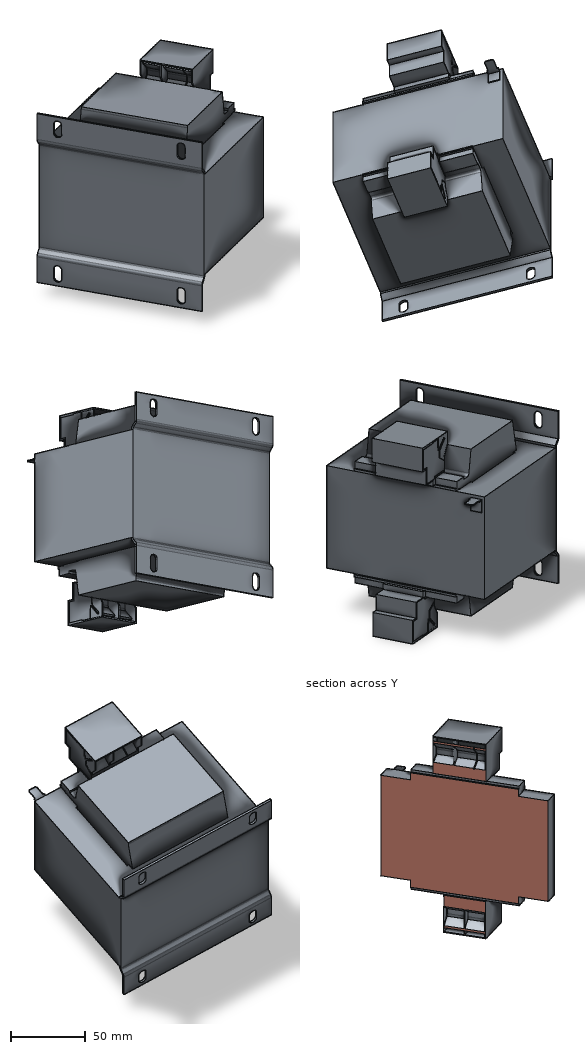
import cadquery as cq


part_width = 120.0
sheet = 1.5
flange_offset = 3.7
panel_half_height = 38.1
flange_half_height = 62.1
bend_radius = 3.4
panel_bend_radius = 1.4
bend_shift = 0.5
slot_width = 6.0
slot_length = 12.0
slot_spacing_x = 89.9
slot_spacing_z = 106.5

core_front = flange_offset + sheet
core_depth = 100.3
core_height = 73.9
core_leg = 20.0
core_rear = core_front + core_depth
window_front = core_front + core_leg
window_rear = core_rear - core_leg
window_half_width = part_width / 2 - core_leg

bobbin_width = 77.5
winding_half_height = 60.2
winding_top_front = 25.8
winding_top_rear = 85.0
winding_base_front = 20.7
winding_front_band = 1.7
winding_base_rear = 88.3
shelf_height = 42.1
shelf_fillet = 2.1
rail_front = 94.9
rail_rear = 105.2
rail_height = 43.8
lip_rear = 106.5
lip_bottom = 37.4
lip_top = 39.0
lip_gap_front = 101.3

terminal_rear = 123.6
terminal_top = 71.4
terminal_front = 88.5
terminal_throat = 92.6
chin_top = 61.2
chin_bottom = 54.5
rear_step = 118.9
overhang_bottom = 54.2
terminal_bottom = 42.8
hook_rear = 108.7
hook_bottom = 38.8
rim = 1.1
panel_recess = 0.1
pocket_ceiling = 70.4
pocket_rear = 101.2
ledge_rear = 100.5
ledge_top = 64.0
ledge_bottom = 60.2
throat_rear = 99.3
throat_bottom = 56.0
pocket_lip = 51.7
leaf_root_top = 61.5
leaf_root_bottom = 59.6
leaf_tip_front = 92.2
leaf_tip_top = 68.5
leaf_thickness = 1.0
leaf_bend_front = 98.9
leaf_bend_height = 61.4
side_step_rear = 109.2
left_wall = 0.7
wall = 1.0
pocket_width = 13.8
wide_pocket_width = 21.8
upper_left = -22.7
lower_left = -15.1
joint_start = 6.5
joint_width = 0.5

tab_centre = -54.0
tab_sheet = 0.7
tab_top = 34.7
tab_foot_bottom = 25.4
tab_base_width = 8.1
tab_base_end = 109.0
tab_blade_width = 6.4
tab_end = 117.2
tab_corner = 0.9


def prism(points, x_start, x_end):
    """Extrude a (Y, Z) outline between two X positions."""
    return cq.Workplane("YZ").workplane(offset=x_start).polyline(points).close().extrude(x_end - x_start)


def block(x_range, y_range, z_range):
    """Box spanning the given ranges."""
    size = [high - low for low, high in (x_range, y_range, z_range)]
    return cq.Workplane("XY").box(*size, centered=False).translate((x_range[0], y_range[0], z_range[0]))


def mirrored_pair(solid):
    """The solid together with its mirror image below the XY plane."""
    return solid.union(solid.mirror("XY"))


def make_core():
    half_height = core_height / 2
    core = block((-part_width / 2, part_width / 2), (core_front, core_rear), (-half_height, half_height))
    window = (
        cq.Workplane("XY")
        .rect(2 * window_half_width, window_rear - window_front)
        .extrude(half_height, both=True)
        .translate((0, (window_front + window_rear) / 2, 0))
    )
    return core.cut(window)


def make_bobbin():
    half_width = bobbin_width / 2
    core_top = core_height / 2
    winding = block((-half_width, half_width), (window_front, window_rear), (-core_top, core_top))
    head = prism(
        [
            (winding_base_front, core_top),
            (winding_top_front, winding_half_height - winding_front_band),
            (winding_top_front, winding_half_height),
            (winding_top_rear, winding_half_height),
            (winding_base_rear, shelf_height),
            (rail_front, shelf_height),
            (rail_front, rail_height),
            (rail_rear, rail_height),
            (rail_rear, lip_top),
            (lip_rear, lip_top),
            (lip_rear, lip_bottom),
            (lip_gap_front, lip_bottom),
            (lip_gap_front, core_top),
        ],
        -half_width,
        half_width,
    )
    shelf_corner = cq.selectors.NearestToPointSelector((0, winding_base_rear, shelf_height))
    head = head.edges(shelf_corner).fillet(shelf_fillet)
    return winding.union(mirrored_pair(head))


def make_bracket():
    """Bent sheet, built as the upper half of the panel with its flange and then mirrored."""
    half_width = part_width / 2
    bend_z = panel_half_height + flange_offset
    sheet_half = prism(
        [
            (core_front, 0),
            (core_front, panel_half_height + bend_shift),
            (sheet, bend_z + bend_shift),
            (sheet, flange_half_height),
            (0, flange_half_height),
            (0, bend_z),
            (flange_offset, panel_half_height),
            (flange_offset, 0),
        ],
        -half_width,
        half_width,
    )
    outer_bend = cq.selectors.NearestToPointSelector((0, 0, bend_z))
    sheet_half = sheet_half.edges(outer_bend).fillet(bend_radius)
    inner_bend = cq.selectors.NearestToPointSelector((0, flange_offset, panel_half_height))
    sheet_half = sheet_half.edges(inner_bend).fillet(panel_bend_radius)
    slots = (
        cq.Workplane("XZ")
        .rarray(slot_spacing_x, slot_spacing_z, 2, 2)
        .slot2D(slot_length, slot_width, 90)
        .extrude(-sheet)
    )
    return mirrored_pair(sheet_half).cut(slots)


def make_terminal(left, pocket_widths):
    """Upper terminal block with a row of wire pockets, each crossed by a sloping leaf."""
    right = left + left_wall + sum(pocket_widths) + wall * len(pocket_widths)
    body = prism(
        [
            (terminal_rear, terminal_top),
            (terminal_front, terminal_top),
            (terminal_front, chin_top),
            (terminal_throat, chin_bottom),
            (terminal_throat, rail_height),
            (rail_rear, rail_height),
            (rail_rear, hook_bottom),
            (hook_rear, hook_bottom),
            (hook_rear, terminal_bottom),
            (rear_step, terminal_bottom),
            (rear_step, overhang_bottom),
            (terminal_rear, overhang_bottom),
        ],
        left,
        right,
    )

    pocket_back = [
        (pocket_rear, pocket_ceiling),
        (pocket_rear, ledge_top),
        (ledge_rear, ledge_top),
        (ledge_rear, ledge_bottom),
        (throat_rear, ledge_bottom),
        (throat_rear, throat_bottom),
        (terminal_throat, pocket_lip),
    ]
    cavity = [(terminal_front, pocket_ceiling)] + pocket_back + [(terminal_front, pocket_lip)]
    leaf = [
        (pocket_rear, leaf_root_top),
        (ledge_rear, leaf_root_top),
        (leaf_tip_front + leaf_thickness, leaf_tip_top),
        (leaf_tip_front, leaf_tip_top - leaf_thickness),
        (leaf_bend_front, leaf_bend_height),
        (throat_rear, leaf_root_bottom),
        (pocket_rear, leaf_root_bottom),
    ]

    pocket_start = left + left_wall
    for width in pocket_widths:
        pocket_end = pocket_start + width
        body = body.cut(prism(cavity, pocket_start, pocket_end))
        body = body.union(prism(leaf, pocket_start, pocket_end))
        pocket_start = pocket_end + wall

    side_panel = pocket_back + [
        (terminal_throat, rail_height + rim),
        (rail_rear + rim, rail_height + rim),
        (rail_rear + rim, terminal_bottom + rim / 2),
        (rear_step - rim, terminal_bottom + rim / 2),
        (rear_step - rim, overhang_bottom + rim),
        (terminal_rear - rim, overhang_bottom + rim),
        (terminal_rear - rim, pocket_ceiling - rim / 2),
        (side_step_rear, pocket_ceiling - rim / 2),
        (side_step_rear, pocket_ceiling),
    ]
    for outline in (side_panel, leaf):
        body = body.cut(prism(outline, left, left + panel_recess))

    return body


def cut_joint(terminal):
    """Split the leaf and floor of the wide pocket where two modules meet."""
    joint_end = joint_start + joint_width
    gap = prism(
        [
            (terminal_front, pocket_ceiling),
            (pocket_rear, pocket_ceiling),
            (pocket_rear, throat_bottom),
            (terminal_throat, pocket_lip - joint_width),
            (terminal_front, pocket_lip - joint_width),
        ],
        joint_start,
        joint_end,
    )
    return terminal.cut(gap)


def make_earth_tab():
    foot = block(
        (tab_centre - tab_base_width / 2, tab_centre + tab_base_width / 2),
        (core_rear, core_rear + tab_sheet),
        (tab_foot_bottom, tab_top),
    )
    base = block(
        (tab_centre - tab_base_width / 2, tab_centre + tab_base_width / 2),
        (core_rear, tab_base_end),
        (tab_top - tab_sheet, tab_top),
    )
    blade = block(
        (tab_centre - tab_blade_width / 2, tab_centre + tab_blade_width / 2),
        (core_rear, tab_end),
        (tab_top - tab_sheet, tab_top),
    )
    blade = blade.edges("|Z and >Y").chamfer(tab_corner)
    return foot.union(base).union(blade)


upper_terminal = cut_joint(make_terminal(upper_left, [pocket_width, wide_pocket_width]))
lower_terminal = make_terminal(lower_left, [pocket_width, pocket_width]).mirror("XY")

result = (
    make_core()
    .union(make_bobbin())
    .union(make_bracket())
    .union(upper_terminal)
    .union(lower_terminal)
    .union(make_earth_tab())
)